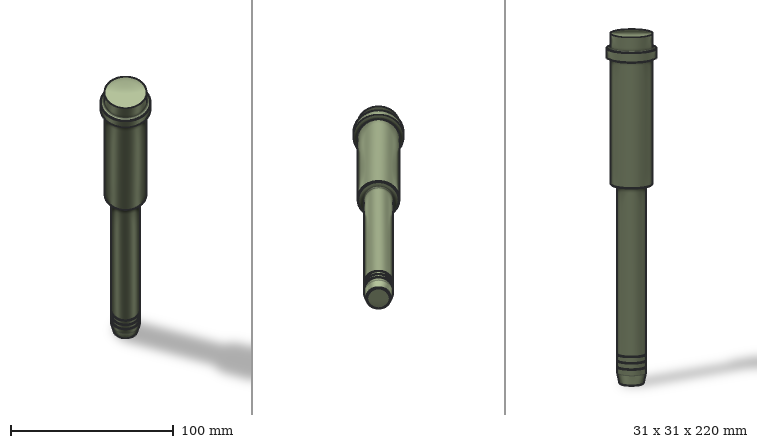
import cadquery as cq

total_length = 220.0
body_radius = 13.0
rod_radius = 9.0
collar_radius = 15.5

body_length = 95.0
head_length = 9.0
collar_thickness = 6.0
collar_chamfer = 0.5
collar_fillet = 0.5
relief_width = 1.0
body_end_chamfer = 0.7
rod_fillet = 0.7

tip_length = 7.0
tip_radius = 7.5
tip_chamfer = 0.7

groove_count = 3
groove_pitch = 4.0
groove_width = 0.7
lowest_groove_height = 10.8

body_bottom = total_length - body_length
collar_top = total_length - head_length
collar_bottom = collar_top - collar_thickness


def cylinder(radius, bottom, height):
    return cq.Workplane("XY").workplane(offset=bottom).circle(radius).extrude(height)


def fillet_ring(solid, radius, height, fillet_radius):
    """Fillet the circular edge of the given radius lying at the given height."""
    reach = radius + fillet_radius
    half_band = fillet_radius / 2
    ring = cq.selectors.BoxSelector(
        (-reach, -reach, height - half_band),
        (reach, reach, height + half_band),
        boundingbox=True,
    )
    return solid.edges(ring).fillet(fillet_radius)


def make_rod():
    """Slender rod with a conical tip and a broken tip edge."""
    profile = (
        cq.Workplane("XZ")
        .lineTo(tip_radius, 0)
        .lineTo(rod_radius, tip_length)
        .lineTo(rod_radius, body_bottom)
        .lineTo(0, body_bottom)
        .close()
    )
    rod = profile.revolve(360, (0, 0, 0), (0, 1, 0))
    return rod.faces("<Z").edges().chamfer(tip_chamfer)


def make_body():
    """Thick body with a chamfered collar, filleted above and relieved below."""
    body = cylinder(body_radius, body_bottom, body_length)
    body = body.faces("<Z").edges().chamfer(body_end_chamfer)
    collar = cylinder(collar_radius, collar_bottom, collar_thickness)
    collar = collar.faces(">Z").edges().chamfer(collar_chamfer)
    body = body.union(collar)
    body = fillet_ring(body, body_radius, collar_top, collar_fillet)
    relief_height = collar_bottom - relief_width / 2
    return body.cut(make_groove(body_radius, relief_height, relief_width))


def make_groove(radius, height, width):
    """Ring of half-round section to remove from a shaft of the given radius."""
    section = cq.Workplane("XZ").center(radius, height).circle(width / 2)
    return section.revolve(360, (-radius, 0, 0), (-radius, 1, 0))


result = make_rod().union(make_body())
result = fillet_ring(result, rod_radius, body_bottom, rod_fillet)
for index in range(groove_count):
    groove_height = lowest_groove_height + index * groove_pitch
    result = result.cut(make_groove(rod_radius, groove_height, groove_width))